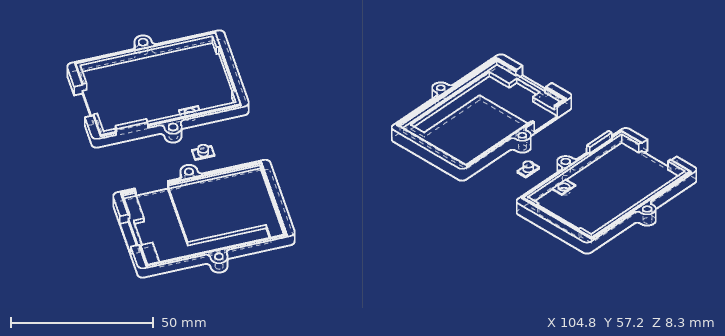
import cadquery as cq

CASE_WIDTH = 35.1
CASE_LENGTH = 57.2
CORNER_RADIUS = 2.0
EAR_SPACING = 39.0
EAR_RADIUS = 3.0
EAR_FILLET = 1.5
CASE_OFFSET = 29.9

LIP_WIDTH = 33.4
LIP_LENGTH = 51.1
LIP_HEIGHT = 0.5
LIP_TAPER = 18
SLOT_WIDTH = 14.0
WINDOW_Y = -14.3

TRAY_HEIGHT = 5.0
TRAY_FLOOR = 1.7
TRAY_EAR_HOLE = 3.1
CAVITY_WIDTH = 30.3
CAVITY_LENGTH = 48.1
END_RELIEF_WIDTH = 20.0
END_RELIEF_DEPTH = 0.8
TAB_LENGTH = 11.7
TAB_THICKNESS = 1.6
TAB_SHOULDER = 5.9
TAB_TOP = 8.3
TAB_END_SLOPE = 0.2

COVER_HEIGHT = 5.4
COVER_FLOOR = 1.0
COVER_EAR_HOLE = 2.8
LEDGE_DEPTH = 0.5
PLATFORM_HEIGHT = 3.0
BOARD_WIDTH = 31.8
BOARD_LENGTH = 50.0
WELL_LEFT = 8.7
WELL_RIGHT = 15.1
WELL_BACK = 20.2
WINDOW_LENGTH = 11.9
NOTCH_WIDTH = 11.1
NOTCH_FRONT = -24.0

BUTTON_Y = 8.1
BUTTON_PLATE_WIDTH = 4.2
BUTTON_PLATE_LENGTH = 7.0
BUTTON_PLATE_THICKNESS = 0.6
BUTTON_PEG_DIAMETER = 3.7
BUTTON_HEIGHT = 2.7
BUTTON_HOLE_DIAMETER = 4.0
BUTTON_HOLE_X = 12.8
SEAT_WIDTH = 4.5
SEAT_HEIGHT = 0.3


def block(x_min, x_max, y_min, y_max, z_min, z_max):
    """Box given by its limits on each axis."""
    size = (x_max - x_min, y_max - y_min, z_max - z_min)
    return cq.Workplane("XY").box(*size, centered=False).translate((x_min, y_min, z_min))


def centred_block(width, length, z_min, z_max):
    """Box centred on the Z axis."""
    return block(-width / 2, width / 2, -length / 2, length / 2, z_min, z_max)


def case_blank(height, ear_hole):
    """Solid rounded plate with a drilled screw ear on each side."""
    blank = centred_block(CASE_WIDTH, CASE_LENGTH, 0, height).edges("|Z").fillet(CORNER_RADIUS)
    ear_centres = [(-EAR_SPACING / 2, 0), (EAR_SPACING / 2, 0)]
    blank = blank.union(centred_block(EAR_SPACING, 2 * EAR_RADIUS, 0, height))
    side = CASE_WIDTH / 2
    for x in (-side, side):
        for y in (-EAR_RADIUS, EAR_RADIUS):
            blank = blank.edges(cq.selectors.NearestToPointSelector((x, y, height / 2))).fillet(EAR_FILLET)
    ears = cq.Workplane("XY").pushPoints(ear_centres).circle(EAR_RADIUS).extrude(height)
    holes = cq.Workplane("XY").pushPoints(ear_centres).circle(ear_hole / 2).extrude(height)
    return blank.union(ears).cut(holes)


def side_tab():
    """Tab standing on the right wall of the tray, with both ends leaning in towards its top."""
    half_length = TAB_LENGTH / 2
    top_half_length = half_length - TAB_END_SLOPE
    return (
        cq.Workplane("YZ", origin=(CASE_WIDTH / 2 - TAB_THICKNESS, WINDOW_Y, 0))
        .moveTo(-half_length, TRAY_HEIGHT)
        .lineTo(half_length, TRAY_HEIGHT)
        .lineTo(half_length, TAB_SHOULDER)
        .lineTo(top_half_length, TAB_TOP)
        .lineTo(-top_half_length, TAB_TOP)
        .lineTo(-half_length, TAB_SHOULDER)
        .close()
        .extrude(TAB_THICKNESS)
    )


def button_seat():
    """Raised pad on the tray floor, running up to the right wall."""
    half_length = BUTTON_PLATE_LENGTH / 2
    return block(
        BUTTON_HOLE_X - SEAT_WIDTH / 2, CAVITY_WIDTH / 2,
        BUTTON_Y - half_length, BUTTON_Y + half_length,
        TRAY_FLOOR, TRAY_FLOOR + SEAT_HEIGHT,
    )


def button_hole():
    """Clearance for the button peg through the seat and the tray floor."""
    return (
        cq.Workplane("XY")
        .center(BUTTON_HOLE_X, BUTTON_Y)
        .circle(BUTTON_HOLE_DIAMETER / 2)
        .extrude(TRAY_FLOOR + SEAT_HEIGHT)
    )


def make_tray():
    rim = TRAY_HEIGHT + LIP_HEIGHT
    lip = (
        cq.Workplane("XY", origin=(0, 0, TRAY_HEIGHT))
        .rect(LIP_WIDTH, LIP_LENGTH)
        .extrude(LIP_HEIGHT, taper=LIP_TAPER)
    )
    tray = case_blank(TRAY_HEIGHT, TRAY_EAR_HOLE).union(lip)

    cavity = centred_block(CAVITY_WIDTH, CAVITY_LENGTH, TRAY_FLOOR, rim)
    back = CAVITY_LENGTH / 2
    relief_half = END_RELIEF_WIDTH / 2
    relief = block(-relief_half, relief_half, 0, back + END_RELIEF_DEPTH, TRAY_FLOOR, rim)
    tray = tray.cut(cavity).cut(relief)

    slot_half = SLOT_WIDTH / 2
    slot = block(-slot_half, slot_half, -CASE_LENGTH / 2, 0, TRAY_FLOOR, rim)
    floor_trim = block(-slot_half, slot_half, -CASE_LENGTH / 2, -LIP_LENGTH / 2, 0, TRAY_FLOOR)
    tray = tray.cut(slot).cut(floor_trim)

    return tray.union(button_seat()).cut(button_hole()).union(side_tab())


def cover_well():
    """Stepped well, open through the left wall, sunk below the platform."""
    window_back = WINDOW_Y + WINDOW_LENGTH / 2
    window_front = WINDOW_Y - WINDOW_LENGTH / 2
    notch_half = NOTCH_WIDTH / 2
    return (
        cq.Workplane("XY", origin=(0, 0, COVER_FLOOR))
        .moveTo(-CASE_WIDTH / 2, window_back)
        .lineTo(WELL_LEFT, window_back)
        .lineTo(WELL_LEFT, WELL_BACK)
        .lineTo(WELL_RIGHT, WELL_BACK)
        .lineTo(WELL_RIGHT, window_front)
        .lineTo(notch_half, window_front)
        .lineTo(notch_half, NOTCH_FRONT)
        .lineTo(-notch_half, NOTCH_FRONT)
        .lineTo(-notch_half, window_front)
        .lineTo(-CASE_WIDTH / 2, window_front)
        .close()
        .extrude(COVER_HEIGHT - COVER_FLOOR)
    )


def make_cover():
    cover = case_blank(COVER_HEIGHT, COVER_EAR_HOLE)
    cover = cover.cut(centred_block(LIP_WIDTH, LIP_LENGTH, COVER_HEIGHT - LEDGE_DEPTH, COVER_HEIGHT))
    cover = cover.cut(centred_block(BOARD_WIDTH, BOARD_LENGTH, PLATFORM_HEIGHT, COVER_HEIGHT))
    cover = cover.cut(cover_well())

    slot_half = SLOT_WIDTH / 2
    slot_end = -LIP_LENGTH / 2
    slot = block(-slot_half, slot_half, -CASE_LENGTH / 2, slot_end, COVER_FLOOR, COVER_HEIGHT)
    slot_top = block(-slot_half, slot_half, -CASE_LENGTH / 2, 0, PLATFORM_HEIGHT, COVER_HEIGHT)
    return cover.cut(slot).cut(slot_top)


def make_button():
    plate = centred_block(BUTTON_PLATE_WIDTH, BUTTON_PLATE_LENGTH, 0, BUTTON_PLATE_THICKNESS)
    peg = cq.Workplane("XY").circle(BUTTON_PEG_DIAMETER / 2).extrude(BUTTON_HEIGHT)
    return plate.union(peg)


tray = make_tray().translate((-CASE_OFFSET, 0, 0))
cover = make_cover().translate((CASE_OFFSET, 0, 0))
button = make_button().translate((0, BUTTON_Y, 0))

result = cq.Compound.makeCompound([tray.val(), cover.val(), button.val()])